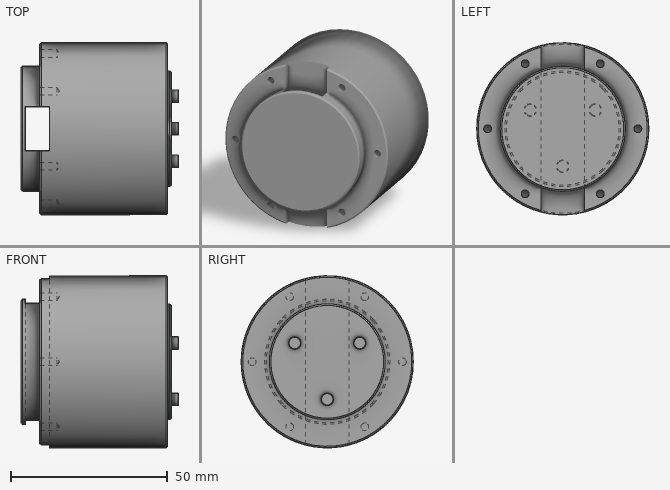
import cadquery as cq
import math


housing_diameter = 55.0
housing_start = 6.0
housing_end = 46.85
housing_chamfer = 0.5

boss_diameter = 40.0
boss_chamfer = 0.5

slot_width = 14.0
slot_start = 1.4
slot_end = 9.1

screw_hole_count = 6
screw_hole_diameter = 2.5
screw_hole_depth = 5.5
screw_circle_diameter = 48.0
drill_point_angle = 118.0

flange_diameter = 37.0
flange_thickness = 1.15
flange_chamfer = 0.5

pin_count = 3
pin_diameter = 4.0
pin_length = 2.3
pin_chamfer = 0.15
pin_circle_diameter = 24.0
first_pin_angle = 30.0


def disc(diameter, start, end):
    """Round bar along X between two X positions."""
    return cq.Workplane("YZ", origin=(start, 0, 0)).circle(diameter / 2).extrude(end - start)


def points_on_circle(diameter, count, first_angle=0.0):
    """Evenly spaced (y, z) points on a circle around the X axis."""
    angles = [math.radians(first_angle + i * 360.0 / count) for i in range(count)]
    return [(diameter / 2 * math.cos(a), diameter / 2 * math.sin(a)) for a in angles]


def make_cable_slot():
    return cq.Workplane("XY").box(
        slot_end - slot_start, slot_width, housing_diameter, centered=(False, True, True)
    ).translate((slot_start, 0, 0))


def make_screw_hole(y, z):
    """Drilled hole: a cylinder that ends in a cone."""
    radius = screw_hole_diameter / 2
    point_length = radius / math.tan(math.radians(drill_point_angle / 2))
    half_section = (
        cq.Workplane("XY")
        .polyline([(0, 0), (0, radius), (screw_hole_depth, radius), (screw_hole_depth + point_length, 0)])
        .close()
    )
    drill = half_section.revolve(360, (0, 0, 0), (1, 0, 0))
    return drill.translate((housing_start, y, z))


def make_housing():
    shell = disc(housing_diameter, housing_start, housing_end).edges("%CIRCLE").chamfer(housing_chamfer)
    boss = disc(boss_diameter, 0, housing_start).faces("<X").edges().chamfer(boss_chamfer)
    body = shell.union(boss).cut(make_cable_slot())
    for y, z in points_on_circle(screw_circle_diameter, screw_hole_count):
        body = body.cut(make_screw_hole(y, z))
    return body


def make_output_flange():
    flange_end = housing_end + flange_thickness
    body = disc(flange_diameter, housing_end, flange_end).faces(">X").edges().chamfer(flange_chamfer)
    pin = disc(pin_diameter, flange_end, flange_end + pin_length).faces(">X").edges().chamfer(pin_chamfer)
    for y, z in points_on_circle(pin_circle_diameter, pin_count, first_pin_angle):
        body = body.union(pin.translate((0, y, z)))
    return body


housing = make_housing()
output_flange = make_output_flange()
result = cq.Compound.makeCompound([housing.val(), output_flange.val()])